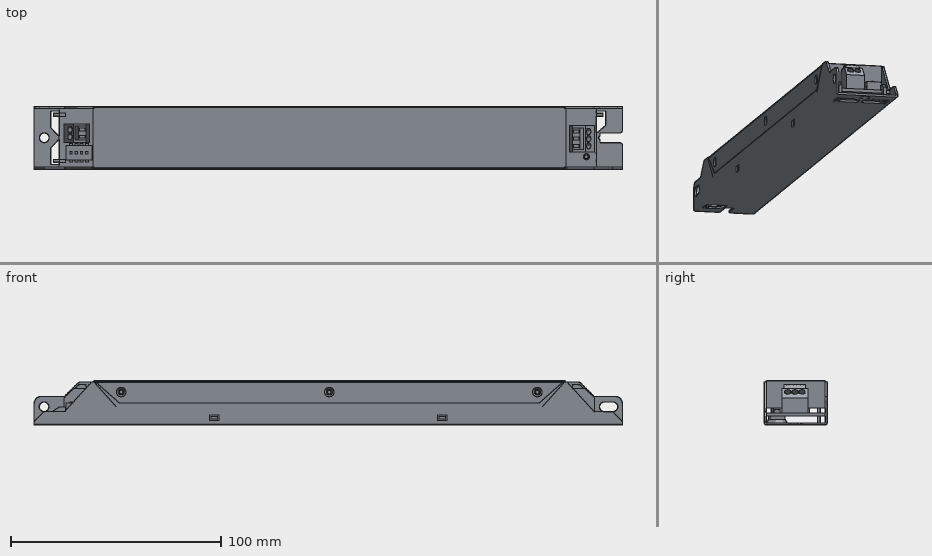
import cadquery as cq

length = 280.0
width = 30.0
height = 21.0
sheet = 1.0
bend_radius = 0.9
half_length = length / 2
half_width = width / 2
body_center_x = 0.5

wall_height = 20.5
foot_z = 6.3
foot_half = 126.0
ledge_half = 135.3
front_end_z = 1.5
front_top_half = 113.0
lug_height = 13.6
lug_radius = 3.6
back_top_half = 119.0
back_top_radius = 2.5
lug_hole_z = 8.6
lug_hole_x = -135.2
lug_slot_x = 133.4
lug_slot_length = 8.6
mount_diameter = 4.5

joggle_depth = 0.5
joggle_margin = 1.6
joggle_z = 8.8
joggle_bottom_half = 101.5

cover_half = 112.5
cover_half_width = half_width - joggle_depth
cover_bottom_z = 8.0
cover_edge_radius = 0.8
flap_rise = 0.25
screw_pitch = 99.0
screw_z = 15.6
dimple_diameter = 4.5
dimple_floor_diameter = 2.9
dimple_depth = 0.6
screw_bore_diameter = 1.8
screw_bore_depth = 0.85

catch_pitch = 108.4
catch_length = 4.6
catch_height = 2.8
catch_z = 3.4
catch_rim = 0.8
catch_depth = 0.5
catch_relief = 0.3

end_hole_x = -135.1
window_outer_x = 132.0
window_inner_x = 124.0
window_edge_y = 12.7
window_corner_y = 4.8
window_taper_x = 128.3
window_taper_y = 1.0
right_corner_y = 6.0
right_taper_y = 2.7
slot_width = 4.5
slot_end_x = 129.4
slot_mouth = 0.9
slot_stop_width = 1.7
slot_stop_depth = 0.7

board_left = -128.0
board_right = 127.5
board_half_width = 14.2
board_bottom = 4.2
board_top = 5.7
tab_y = 11.0
tab_thickness = 1.5
tab_outer_x = 130.8
tab_inner_x = 122.0
tab_over_board_x = 125.0
tab_top = 8.6
tab_slope_run = 3.0
tab_slope_drop = 2.0
boss_x = 122.8
boss_y = -9.0
boss_base_diameter = 11.0
boss_top_diameter = 8.0
boss_cone_top = 2.6
stud_diameter = 2.9
stud_bore_diameter = 1.8
stud_height = 1.5

terminal_outer = 125.7
terminal_length = 12.0
terminal_face_z = 12.9
terminal_shoulder_z = 17.3
terminal_top_z = 19.2
terminal_back_run = 1.6
crown_start = 5.2
crown_slope = 1.8
crown_end = 10.4
crown_margin = 1.1
pole_pitch = 3.4
wire_hole_diameter = 2.9
wire_hole_depth = 3.0
wire_hole_climb = 2.8
release_length = 2.6
release_width = 1.4
release_depth = 1.0
left_terminal_y = 2.2
left_terminal_width = 8.8
left_terminal_poles = 2
right_terminal_y = -0.4
right_terminal_width = 12.5
right_terminal_poles = 3

header_x = -118.6
header_y = -7.1
header_length = 12.5
header_width = 7.0
header_top = 10.3
header_pins = 4
header_pitch = 2.5
pin_size = 1.1
pin_rise = 0.6
rib_length = 1.5
rib_depth = 0.8
rib_top = 8.2


def block(x0, x1, y0, y1, z0, z1):
    """Box given by its limits along each axis."""
    return cq.Workplane("XY").box(x1 - x0, y1 - y0, z1 - z0, centered=False).translate((x0, y0, z0))


def profile_xz(points, y0, y1):
    """Prism of an XZ outline between two Y positions."""
    return cq.Workplane("XZ", origin=(0, y1, 0)).polyline(points).close().extrude(y1 - y0)


def trapezoid(top_half, bottom_half, bottom_z, top_z):
    """XZ corners of a trapezoid centred on the body."""
    return [
        (body_center_x - top_half, top_z),
        (body_center_x + top_half, top_z),
        (body_center_x + bottom_half, bottom_z),
        (body_center_x - bottom_half, bottom_z),
    ]


def mirrored_in_y(shape):
    return shape.union(shape.mirror("XZ"))


def make_base():
    base = block(-half_length, half_length, -half_width, half_width, 0, sheet)
    left_window = (
        cq.Workplane("XY")
        .polyline([
            (-window_outer_x, window_edge_y),
            (-window_inner_x, window_edge_y),
            (-window_inner_x, window_taper_y),
            (-window_taper_x, window_taper_y),
            (-window_outer_x, window_corner_y),
        ])
        .close()
        .extrude(sheet)
    )
    right_window = (
        cq.Workplane("XY")
        .polyline([
            (window_outer_x, window_edge_y),
            (window_inner_x, window_edge_y),
            (window_inner_x, right_taper_y),
            (window_taper_x, right_taper_y),
            (window_outer_x, right_corner_y),
        ])
        .close()
        .extrude(sheet)
    )
    slot_half = slot_width / 2
    slot_stop_half = slot_stop_width / 2
    end_slot = (
        cq.Workplane("XY")
        .moveTo(half_length, -slot_half - slot_mouth)
        .lineTo(half_length - slot_mouth, -slot_half)
        .lineTo(slot_end_x, -slot_half)
        .lineTo(slot_end_x, -slot_stop_half)
        .threePointArc((slot_end_x - slot_stop_depth, 0), (slot_end_x, slot_stop_half))
        .lineTo(slot_end_x, slot_half)
        .lineTo(half_length - slot_mouth, slot_half)
        .lineTo(half_length, slot_half + slot_mouth)
        .close()
        .extrude(sheet)
    )
    end_hole = cq.Workplane("XY").center(end_hole_x, 0).circle(mount_diameter / 2).extrude(sheet)
    return base.cut(mirrored_in_y(left_window)).cut(right_window).cut(end_slot).cut(end_hole)


def make_front_wall():
    outline = [
        (-half_length, 0),
        (half_length, 0),
        (half_length, front_end_z),
        (ledge_half, foot_z),
        (body_center_x + foot_half, foot_z),
        (body_center_x + front_top_half, wall_height),
        (body_center_x - front_top_half, wall_height),
        (body_center_x - foot_half, foot_z),
        (-ledge_half, foot_z),
        (-half_length, front_end_z),
    ]
    return profile_xz(outline, -half_width, -half_width + sheet)


def make_back_wall():
    inner_y = half_width - sheet
    lugs = block(-half_length, half_length, inner_y, half_width, 0, lug_height)
    lugs = lugs.edges("|Y and >Z").fillet(lug_radius)
    rise = profile_xz(trapezoid(back_top_half, foot_half, lug_height, wall_height), inner_y, half_width)
    rise = rise.edges("|Y and >Z").fillet(back_top_radius)
    hole = (
        cq.Workplane("XZ", origin=(lug_hole_x, half_width, lug_hole_z))
        .circle(mount_diameter / 2)
        .extrude(sheet)
    )
    slot = (
        cq.Workplane("XZ", origin=(lug_slot_x, half_width, lug_hole_z))
        .slot2D(lug_slot_length, mount_diameter)
        .extrude(sheet)
    )
    return lugs.union(rise).cut(hole).cut(slot)


def make_joggle():
    """Cutter for the sloped-edge recess in both side walls."""
    recess = (
        cq.Workplane("XZ", origin=(0, -half_width, 0))
        .polyline(trapezoid(cover_half, joggle_bottom_half, joggle_z, height))
        .close()
        .workplane(offset=-joggle_depth)
        .polyline(trapezoid(
            cover_half - joggle_margin,
            joggle_bottom_half - joggle_margin,
            joggle_z + joggle_margin,
            height,
        ))
        .close()
        .loft(ruled=True)
    )
    return mirrored_in_y(recess)


def make_cover():
    left = body_center_x - cover_half
    right = body_center_x + cover_half
    shell = block(left, right, -cover_half_width, cover_half_width, cover_bottom_z, height)
    shell = shell.edges(">Z").fillet(cover_edge_radius)
    inner_y = cover_half_width - sheet
    cavity = block(left + sheet, right - sheet, -inner_y, inner_y, cover_bottom_z, height - sheet)
    flap = profile_xz(
        trapezoid(
            cover_half - joggle_margin,
            joggle_bottom_half - joggle_margin,
            joggle_z + joggle_margin,
            height - cover_edge_radius,
        ),
        -cover_half_width - flap_rise, -cover_half_width,
    )
    return shell.cut(cavity).union(mirrored_in_y(flap))


def make_screw_dimples():
    dimples = cq.Workplane("XY")
    for index in (-1, 0, 1):
        origin = (body_center_x + index * screw_pitch, -cover_half_width - flap_rise, screw_z)
        cone = (
            cq.Workplane("XZ", origin=origin)
            .circle(dimple_diameter / 2)
            .workplane(offset=-dimple_depth)
            .circle(dimple_floor_diameter / 2)
            .loft()
        )
        bore = cq.Workplane("XZ", origin=origin).circle(screw_bore_diameter / 2).extrude(-screw_bore_depth)
        dimples = dimples.union(cone).union(bore)
    return mirrored_in_y(dimples)


def make_catch_recesses():
    """Rectangular recesses, each with a slightly sunken pad in the middle."""
    recesses = cq.Workplane("XY")
    for side in (-1, 1):
        center = cq.Workplane("XZ", origin=(side * catch_pitch / 2, -half_width, catch_z))
        pocket = center.rect(catch_length, catch_height).extrude(-catch_depth)
        pad = (
            center.workplane(offset=-catch_relief)
            .rect(catch_length - 2 * catch_rim, catch_height - 2 * catch_rim)
            .extrude(catch_relief - catch_depth)
        )
        recesses = recesses.union(pocket.cut(pad))
    return mirrored_in_y(recesses)


def make_left_tab():
    outline = [
        (-tab_outer_x, 0),
        (-tab_inner_x, 0),
        (-tab_inner_x, board_bottom),
        (-tab_over_board_x, board_bottom),
        (-tab_over_board_x, tab_top),
        (-tab_outer_x + tab_slope_run, tab_top),
        (-tab_outer_x, tab_top - tab_slope_drop),
    ]
    return profile_xz(outline, tab_y - tab_thickness / 2, tab_y + tab_thickness / 2)


def make_supports():
    right_tab = block(
        tab_inner_x, tab_outer_x, tab_y - tab_thickness / 2, tab_y + tab_thickness / 2, 0, board_bottom
    )
    boss = (
        cq.Workplane("XY", origin=(boss_x, boss_y, 0))
        .circle(boss_base_diameter / 2)
        .workplane(offset=boss_cone_top)
        .circle(boss_top_diameter / 2)
        .loft()
        .faces(">Z")
        .workplane()
        .circle(boss_top_diameter / 2)
        .extrude(board_bottom - boss_cone_top)
    )
    return mirrored_in_y(make_left_tab()).union(right_tab).union(boss)


def make_board():
    board = block(board_left, board_right, -board_half_width, board_half_width, board_bottom, board_top)
    stud = (
        cq.Workplane("XY", origin=(boss_x, boss_y, board_top))
        .circle(stud_diameter / 2)
        .circle(stud_bore_diameter / 2)
        .extrude(stud_height)
    )
    return board.union(stud)


def make_terminal(center_y, block_width, poles):
    """Terminal block with its wire entries facing -X."""
    face_x = -terminal_outer
    back_x = face_x + terminal_length
    slope_run = terminal_shoulder_z - terminal_face_z
    y0 = center_y - block_width / 2
    y1 = center_y + block_width / 2
    body = profile_xz(
        [
            (face_x, board_top),
            (back_x, board_top),
            (back_x - terminal_back_run, terminal_shoulder_z),
            (face_x + slope_run, terminal_shoulder_z),
            (face_x, terminal_face_z),
        ],
        y0, y1,
    )
    crown = profile_xz(
        [
            (face_x + crown_start, terminal_shoulder_z),
            (face_x + crown_end, terminal_shoulder_z),
            (face_x + crown_end, terminal_top_z),
            (face_x + crown_start + crown_slope, terminal_top_z),
        ],
        y0 + crown_margin, y1 - crown_margin,
    )
    terminal = body.union(crown)
    for pole in range(poles):
        pole_y = center_y + (pole - (poles - 1) / 2) * pole_pitch
        entry = cq.Plane(
            origin=(face_x + wire_hole_climb, pole_y, terminal_face_z + wire_hole_climb),
            xDir=(0, 1, 0),
            normal=(-1, 0, 1),
        )
        wire_hole = cq.Workplane(entry).circle(wire_hole_diameter / 2).extrude(-wire_hole_depth)
        release_center_x = face_x + (crown_start + crown_slope + crown_end) / 2
        release = block(
            release_center_x - release_length / 2, release_center_x + release_length / 2,
            pole_y - release_width / 2, pole_y + release_width / 2,
            terminal_top_z - release_depth, terminal_top_z,
        )
        terminal = terminal.cut(wire_hole).cut(release)
    return terminal


def make_header():
    y0 = header_y - header_width / 2
    y1 = header_y + header_width / 2
    header = block(
        header_x - header_length / 2, header_x + header_length / 2, y0, y1, board_top, header_top
    )
    for index in range(header_pins):
        pin_x = header_x + (index - (header_pins - 1) / 2) * header_pitch
        pin = block(
            pin_x - pin_size / 2, pin_x + pin_size / 2,
            header_y - pin_size / 2, header_y + pin_size / 2,
            header_top, header_top + pin_rise,
        )
        ribs = block(
            pin_x - rib_length / 2, pin_x + rib_length / 2,
            y0 - rib_depth, y1 + rib_depth, board_top, rib_top,
        )
        header = header.union(pin).union(ribs)
    return header


tray = make_base().union(make_front_wall()).union(make_back_wall())
tray = tray.faces("<Y or >Y").edges("|X and <Z").fillet(bend_radius)
tray = tray.cut(make_joggle()).cut(make_catch_recesses())
housing = tray.union(make_cover()).cut(make_screw_dimples())

left_terminal = make_terminal(left_terminal_y, left_terminal_width, left_terminal_poles)
right_terminal = make_terminal(right_terminal_y, right_terminal_width, right_terminal_poles)
right_terminal = right_terminal.mirror("YZ").translate((2 * body_center_x, 0, 0))

result = (
    housing
    .union(make_supports())
    .union(make_board())
    .union(left_terminal)
    .union(right_terminal)
    .union(make_header())
)